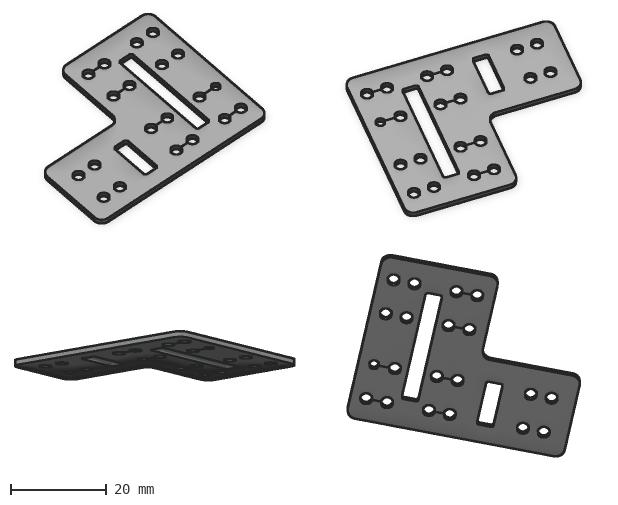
import cadquery as cq

width = 38.0
length = 46.3
thickness = 1.2
corner_radius = 2.0
leg_left = 19.0
arm_bottom = 21.5

hole_diameter = 2.5
small_hole_diameter = 2.0
column_inset = 5.0
column_spacing = 8.0
pair_pitch = 4.45
top_pair_y = 38.55
middle_pair_y = 25.2
leg_pair_y = 5.15

slit_width = 0.05

window_height = 3.5
window_radius = 0.5
arm_window_length = 25.0
arm_window_y = 34.05
leg_window_length = 10.1
leg_window_y = 17.45

left_columns = [column_inset, column_inset + column_spacing]
right_columns = [width - column_inset - column_spacing, width - column_inset]
small_hole_center = (right_columns[0], top_pair_y + pair_pitch)


def make_plate():
    """L-shaped plate with every upright edge rounded."""
    outline = [
        (leg_left, 0),
        (width, 0),
        (width, length),
        (0, length),
        (0, arm_bottom),
        (leg_left, arm_bottom),
    ]
    plate = cq.Workplane("XY").polyline(outline).close().extrude(thickness)
    return plate.edges("|Z").fillet(corner_radius)


def hole_centers():
    """Centres of all full-size holes."""
    all_columns = left_columns + right_columns
    rows = [(top_pair_y, all_columns), (middle_pair_y, all_columns), (leg_pair_y, right_columns)]
    centers = []
    for pair_y, columns in rows:
        for x in columns:
            for y in (pair_y, pair_y + pair_pitch):
                if (x, y) != small_hole_center:
                    centers.append((x, y))
    return centers


def round_cutters(centers, diameter):
    return cq.Workplane("XY").pushPoints(centers).circle(diameter / 2).extrude(thickness)


def window_cutter(center_x, center_y, window_length):
    """Rounded rectangular window through the plate."""
    block = cq.Workplane("XY").center(center_x, center_y).rect(window_length, window_height)
    return block.extrude(thickness).edges("|Z").fillet(window_radius)


def slit_cutters():
    """Through slits from centre to centre of the joined pairs."""
    joined_pairs = [(x, middle_pair_y) for x in left_columns + right_columns]
    joined_pairs += [(x, top_pair_y) for x in right_columns]
    middles = [(x, y + pair_pitch / 2) for x, y in joined_pairs]
    return cq.Workplane("XY").pushPoints(middles).rect(slit_width, pair_pitch).extrude(thickness)


arm_window_x = width / 2
leg_window_x = sum(right_columns) / 2

result = (
    make_plate()
    .cut(round_cutters(hole_centers(), hole_diameter))
    .cut(round_cutters([small_hole_center], small_hole_diameter))
    .cut(slit_cutters())
    .cut(window_cutter(arm_window_x, arm_window_y, arm_window_length))
    .cut(window_cutter(leg_window_x, leg_window_y, leg_window_length))
)